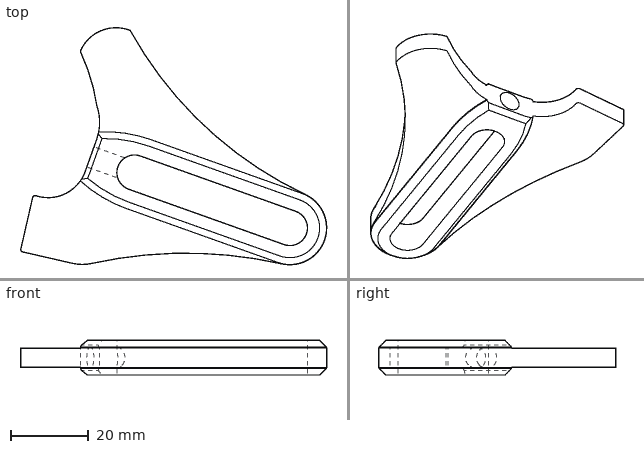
import math

import cadquery as cq


bar_thickness = 9.0
plate_thickness = 5.0

bar_angle = 160.4
tip_radius = 9.5
bar_half_width = 9.4
bar_chamfer = 1.75
bar_straight_length = 41.2
bar_full_length = 57.0
bar_end_overhang = 0.5
bar_side_radius = 35.5

slot_length = 42.4
slot_width = 9.0

head_distance = 54.45
head_flat_upper = 4.8
head_flat_lower = 4.0
hole_diameter = 5.5

upper_edge_radius = 100.0
upper_tangent_angle = 66.0
upper_end_center = (-44.7, 41.5)
upper_end_radius = 10.0
upper_end_right_angle = 68.5
upper_end_left_angle = 157.0
neck_outer_radius = 50.0
neck_inner_radius = 13.0
neck_joint_angle = 19.0

lower_edge_radius = 112.0
lower_tangent_angle = 257.0
lower_arm_tilt = 12.9
lower_notch_radius = 10.07
lower_arm_width = 15.0
lower_arm_length = 16.4
lower_notch_end_angle = 247.5
lower_bend_radius = 11.0
corner_radius = 0.7


def polar(radius, angle, center=(0.0, 0.0)):
    """Point at a radius and an angle in degrees from a center."""
    turn = math.radians(angle)
    return (center[0] + radius * math.cos(turn), center[1] + radius * math.sin(turn))


def on_bar(along, across):
    """Point at a distance along the bar and a distance to its upper side."""
    return polar(across, bar_angle - 90, polar(along, bar_angle))


upper_end_right = polar(upper_end_radius, upper_end_right_angle, upper_end_center)
upper_end_left = polar(upper_end_radius, upper_end_left_angle, upper_end_center)
flat_upper_end = on_bar(head_distance, head_flat_upper)
flat_lower_end = on_bar(head_distance, -head_flat_lower)

neck_center = on_bar(head_distance + neck_inner_radius, head_flat_upper)
neck_joint = polar(neck_inner_radius, neck_joint_angle, neck_center)
notch_center = on_bar(head_distance + lower_notch_radius, -head_flat_lower)
notch_end = polar(lower_notch_radius, lower_notch_end_angle, notch_center)
lower_corner = polar(lower_arm_width, 270 - lower_arm_tilt, notch_end)
lower_bend = polar(lower_arm_length, -lower_arm_tilt, lower_corner)


def make_plate():
    """Thin plate with both arms."""
    plate = (
        cq.Workplane("XY", origin=(0, 0, -plate_thickness / 2))
        .moveTo(*polar(tip_radius, lower_tangent_angle))
        .threePointArc((tip_radius, 0), polar(tip_radius, upper_tangent_angle))
        .radiusArc(upper_end_right, upper_edge_radius)
        .radiusArc(upper_end_left, -upper_end_radius)
        .radiusArc(neck_joint, neck_outer_radius)
        .radiusArc(flat_upper_end, neck_inner_radius)
        .lineTo(*flat_lower_end)
        .radiusArc(notch_end, lower_notch_radius)
        .lineTo(*lower_corner)
        .lineTo(*lower_bend)
        .radiusArc(polar(tip_radius, lower_tangent_angle), lower_edge_radius)
        .close()
        .extrude(plate_thickness)
    )
    for corner in (upper_end_right, upper_end_left, notch_end, lower_corner):
        plate = plate.edges(cq.selectors.NearestToPointSelector((*corner, 0))).fillet(corner_radius)
    return plate.edges(cq.selectors.NearestToPointSelector((*lower_bend, 0))).fillet(lower_bend_radius)


def make_head_space(clearance):
    """Space in front of the head, held off the plate's outline by a clearance."""
    neck_radius = neck_inner_radius - clearance
    notch_radius = lower_notch_radius - clearance
    return (
        cq.Workplane("XY", origin=(0, 0, -bar_thickness / 2))
        .moveTo(*polar(neck_radius, neck_joint_angle, neck_center))
        .radiusArc(on_bar(head_distance + clearance, head_flat_upper), neck_radius)
        .lineTo(*on_bar(head_distance + clearance, -head_flat_lower))
        .radiusArc(polar(notch_radius, lower_notch_end_angle, notch_center), notch_radius)
        .close()
        .extrude(bar_thickness)
    )


def make_bar():
    """Thick bar, chamfered all around and then trimmed to the plate's outline at the head."""
    side_turn = math.asin((bar_full_length - bar_straight_length) / bar_side_radius)
    end_half_width = bar_half_width - bar_side_radius * (1 - math.cos(side_turn))
    bar = (
        cq.Workplane("XY", origin=(0, 0, -bar_thickness / 2))
        .moveTo(*on_bar(0, bar_half_width))
        .lineTo(*on_bar(bar_straight_length, bar_half_width))
        .radiusArc(on_bar(bar_full_length, end_half_width), -bar_side_radius)
        .lineTo(*on_bar(bar_full_length, -end_half_width))
        .radiusArc(on_bar(bar_straight_length, -bar_half_width), -bar_side_radius)
        .lineTo(*on_bar(0, -bar_half_width))
        .threePointArc(on_bar(-bar_half_width, 0), on_bar(0, bar_half_width))
        .close()
        .extrude(bar_thickness)
        .cut(make_head_space(bar_end_overhang))
    )
    return bar.faces("|Z").chamfer(bar_chamfer).cut(make_head_space(0))


def make_slot():
    """Long slot through the bar, with one round end centred on the tip."""
    return (
        cq.Workplane("XY", origin=(*on_bar(slot_length / 2, 0), -bar_thickness / 2))
        .slot2D(slot_length + slot_width, slot_width, bar_angle)
        .extrude(bar_thickness)
    )


def make_hole():
    """Round hole along the bar, from the head face into the slot."""
    start = cq.Vector(*on_bar(head_distance, 0), 0)
    slot_center = cq.Vector(*on_bar(slot_length, 0), 0)
    depth = head_distance - slot_length
    return cq.Workplane(cq.Solid.makeCylinder(hole_diameter / 2, depth, start, slot_center - start))


result = make_plate().union(make_bar()).cut(make_slot()).cut(make_hole())